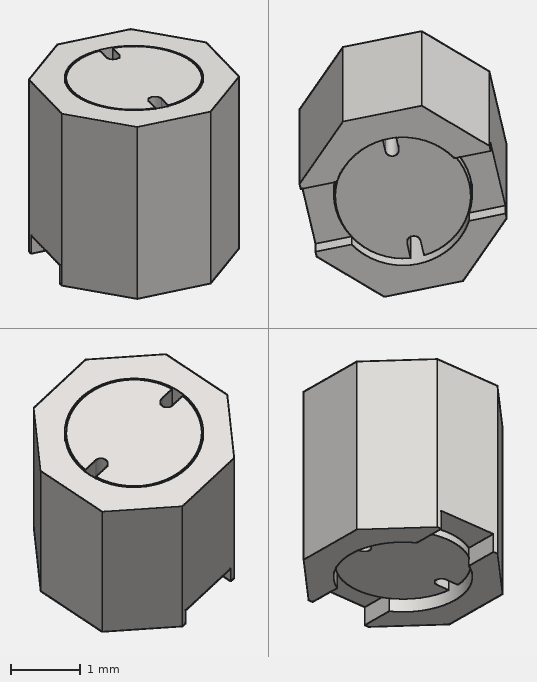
import cadquery as cq

ACROSS_FLATS = 2.8
HEIGHT = 2.8
BORE_DIAMETER = 2.0

NOTCH_WIDTH = 1.0
NOTCH_HEIGHT = 0.3

CORE_DIAMETER = 1.95
CORE_BOTTOM = 0.2
CORE_HEIGHT = HEIGHT - CORE_BOTTOM

SLOT_WIDTH = 0.2
SLOT_END_SPACING = 1.28
SLOT_INNER_X = SLOT_END_SPACING / 2
SLOT_OUTER_X = CORE_DIAMETER / 2 + SLOT_WIDTH


def make_shield():
    tube = (
        cq.Workplane("XY")
        .polygon(8, ACROSS_FLATS, circumscribed=True)
        .circle(BORE_DIAMETER / 2)
        .extrude(HEIGHT)
    )
    notch = cq.Workplane("XY").box(
        NOTCH_WIDTH, ACROSS_FLATS, NOTCH_HEIGHT, centered=(True, True, False)
    )
    return tube.cut(notch).solids()


def make_core():
    base = cq.Workplane("XY", origin=(0, 0, CORE_BOTTOM))
    plug = base.circle(CORE_DIAMETER / 2).extrude(CORE_HEIGHT)
    slot_x = (SLOT_INNER_X + SLOT_OUTER_X) / 2
    slots = (
        base.pushPoints([(-slot_x, 0), (slot_x, 0)])
        .slot2D(SLOT_OUTER_X - SLOT_INNER_X, SLOT_WIDTH)
        .extrude(CORE_HEIGHT)
    )
    return plug.cut(slots).solids()


shield = make_shield()
core = make_core()

result = cq.Compound.makeCompound([shield.val(), core.val()])